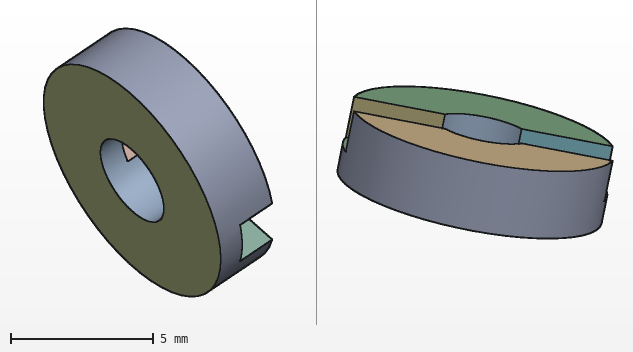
import cadquery as cq

outer_diameter = 9.5
thickness = 2.5
bore_diameter = 3.4
slot_width = 2.0
slot_depth = 1.5

back_y = thickness / 2


def make_washer():
    """Round disc with a through bore, axis along Y, centred on the origin."""
    return (
        cq.Workplane("XZ")
        .circle(outer_diameter / 2)
        .circle(bore_diameter / 2)
        .extrude(thickness / 2, both=True)
    )


def make_slot():
    """Driver slot running along X across the full diameter, open at the +Y face."""
    return (
        cq.Workplane("XY")
        .box(outer_diameter, slot_depth, slot_width)
        .translate((0, back_y - slot_depth / 2, 0))
    )


result = make_washer().cut(make_slot())